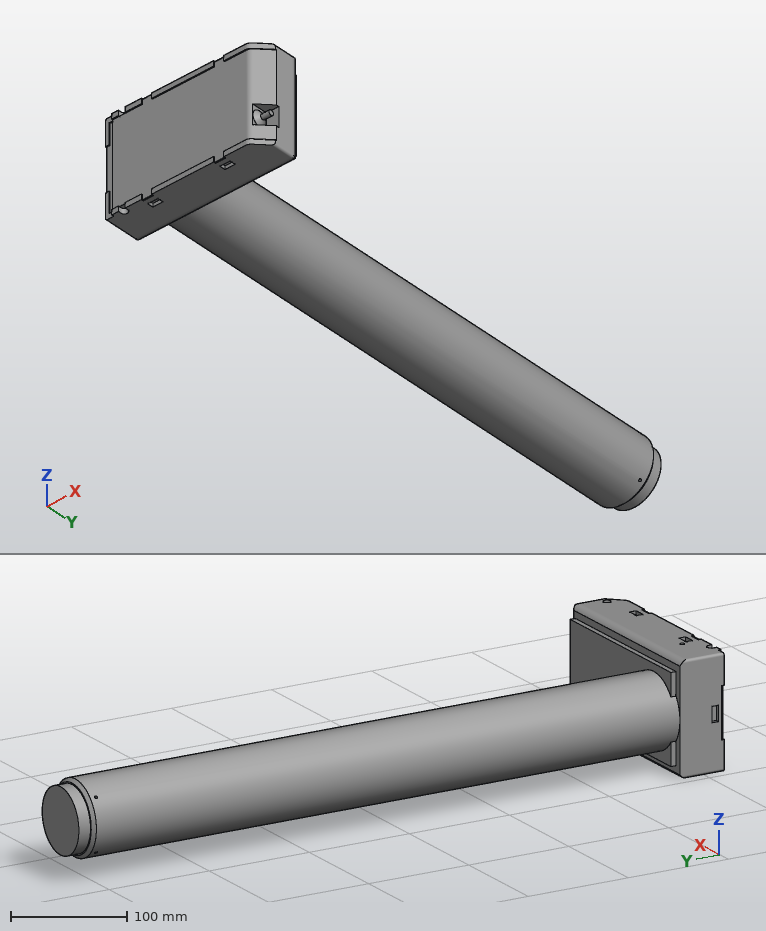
import cadquery as cq

total_length = 645.0
column_dia = 71.0
spigot_dia = 62.0
spigot_length = 11.5
shoulder_chamfer = 3.0
column_hole_dia = 2.5
column_hole_depth = 3.0
column_hole_from_end = 20.5
column_hole_angles = (45, 135, 225, 315)

housing_width = 183.0
housing_height = 107.0
housing_depth = 47.0
housing_left = -column_dia / 2
housing_right = housing_left + housing_width
corner_radius = 2.5
half_height = housing_height / 2

back_radius = 9.0
back_trim = 1.0

plate_left = -29.0
plate_right = 140.5
plate_height = 85.0
plate_thickness = 5.0

lip_thickness = 6.0
left_lip_thickness = 4.5
panel_recess = 1.0
left_step = 2.5
left_step_x = -26.0
slope_start_x = 131.5
slope_end_y = 17.0
slope_bend_radius = 7.0

clip_width = 11.5
clip_centres_x = (14.0, 97.5)
clip_inset = 0.3
clip_inset_depth = 1.0
slot_height = 6.5
slot_centre_y = 11.5
slot_depth = 4.0
side_slot_width = 15.0
side_clip_width = 49.0
notch_x = -14.0
notch_width = 8.0
notch_depth = 7.0

pilot_hole_dia = 4.0
pilot_hole_x = 5.0
pilot_hole_y = 20.5
screw_hole_dia = 7.0
screw_hole_x = 138.0
screw_hole_y = 17.0
wall_hole_depth = 4.0

connector_z = -21.0
recess_left = 133.5
recess_height = 22.0
recess_depth = 21.0
connector_y = 12.0
cone_base_dia = 17.0
cone_length = 4.0
pin_dia = 6.0
pin_end_x = 147.0


def box(x_range, y_range, z_range):
    """Box between the given limits."""
    size = [high - low for low, high in (x_range, y_range, z_range)]
    corner = (x_range[0], y_range[0], z_range[0])
    return cq.Workplane("XY").box(*size, centered=False).translate(corner)


def span(centre, size):
    """Limits of a length centred on a point."""
    return (centre - size / 2, centre + size / 2)


def make_column():
    """Bar with a chamfered shoulder, a spigot at the far end and four small radial holes."""
    radius = column_dia / 2
    shoulder_y = total_length - spigot_length
    bar = (
        cq.Workplane("YZ")
        .moveTo(housing_depth, 0)
        .lineTo(housing_depth, radius)
        .lineTo(shoulder_y - shoulder_chamfer, radius)
        .lineTo(shoulder_y, radius - shoulder_chamfer)
        .lineTo(shoulder_y, spigot_dia / 2)
        .lineTo(total_length, spigot_dia / 2)
        .lineTo(total_length, 0)
        .close()
        .revolve(360, (0, 0, 0), (1, 0, 0))
    )
    hole = (
        cq.Workplane("XY", origin=(0, total_length - column_hole_from_end, radius - column_hole_depth))
        .circle(column_hole_dia / 2)
        .extrude(2 * column_hole_depth)
    )
    for angle in column_hole_angles:
        bar = bar.cut(hole.rotate((0, 0, 0), (0, 1, 0), angle))
    return bar


def front_prism(recess):
    """Prism along Z over the full height, with its stepped and sloped front set back by `recess`."""
    prism = (
        cq.Workplane("XY", origin=(0, 0, -half_height))
        .moveTo(housing_left, housing_depth)
        .lineTo(housing_left, recess + left_step)
        .lineTo(left_step_x, recess + left_step)
        .lineTo(left_step_x, recess)
        .lineTo(slope_start_x, recess)
        .lineTo(housing_right, recess + slope_end_y)
        .lineTo(housing_right, housing_depth)
        .close()
        .extrude(housing_height)
    )
    bend = cq.selectors.NearestToPointSelector((slope_start_x, recess, 0))
    return prism.edges("|Z").edges(bend).fillet(slope_bend_radius)


def make_blank():
    """Housing outline with rounded corners and a rounded back on the top, bottom and right sides."""
    block_depth = housing_depth + back_trim
    block = box((housing_left, housing_right), (0, block_depth), (-half_height, half_height))
    blank = front_prism(0)
    blank = blank.intersect(block.edges("|Y").fillet(corner_radius))
    blank = blank.intersect(block.edges("|X and >Y").fillet(back_radius))
    return blank.intersect(block.edges("|Z and >Y and >X").fillet(back_radius))


def make_shell():
    """Blank with a thin lip standing in front of the panel, broken by gaps at the clips."""
    blank = make_blank()
    front_y = (0, housing_depth)
    openings = box(
        (housing_left + left_lip_thickness, housing_right),
        front_y,
        (lip_thickness - half_height, half_height - lip_thickness),
    )
    for x in clip_centres_x:
        openings = openings.union(box(span(x, clip_width), front_y, (-half_height, half_height)))
    openings = openings.union(box((housing_left, left_step_x), front_y, span(0, side_clip_width)))
    lip = blank.cut(openings)
    return lip.union(blank.intersect(front_prism(panel_recess)))


def inset_clips(shell):
    """Set the outer faces of the clips slightly inside the walls."""
    clip_y = (0, panel_recess + clip_inset_depth)
    for x in clip_centres_x:
        for side in (1, -1):
            clip_z = sorted((side * half_height, side * (half_height - clip_inset)))
            shell = shell.cut(box(span(x, clip_width), clip_y, clip_z))
    side_clip_y = (0, left_step + panel_recess + clip_inset_depth)
    return shell.cut(box((housing_left, housing_left + clip_inset), side_clip_y, span(0, side_clip_width)))


def cut_wall_openings(shell):
    """Cut the clip slots, edge notches and round holes of the walls."""
    slot_y = span(slot_centre_y, slot_height)
    notch_centre_y = notch_depth - notch_width / 2
    for side in (1, -1):
        slot_z = sorted((side * half_height, side * (half_height - slot_depth)))
        for x in clip_centres_x:
            shell = shell.cut(box(span(x, clip_width), slot_y, slot_z))
        notch = (
            cq.Workplane("XY", origin=(notch_x, notch_centre_y, side * half_height))
            .moveTo(-notch_width / 2, -notch_centre_y)
            .lineTo(-notch_width / 2, 0)
            .threePointArc((0, notch_width / 2), (notch_width / 2, 0))
            .lineTo(notch_width / 2, -notch_centre_y)
            .close()
            .extrude(-side * lip_thickness)
        )
        shell = shell.cut(notch)
    shell = shell.cut(box((housing_left, housing_left + slot_depth), slot_y, span(0, side_slot_width)))

    holes = ((pilot_hole_x, pilot_hole_y, pilot_hole_dia), (screw_hole_x, screw_hole_y, screw_hole_dia))
    for x, y, diameter in holes:
        hole = (
            cq.Workplane("XY", origin=(x, y, half_height))
            .circle(diameter / 2)
            .extrude(-wall_hole_depth)
        )
        shell = shell.cut(hole)
    return shell


def add_connector(shell):
    """Cut the recess in the sloped corner and add the cone and pin that stand in it."""
    recess_z = span(connector_z, recess_height)
    shell = shell.cut(box((recess_left, housing_right), (0, recess_depth), recess_z))
    cone_end = recess_left + cone_length
    connector = (
        cq.Workplane("XY")
        .moveTo(recess_left, 0)
        .lineTo(recess_left, cone_base_dia / 2)
        .lineTo(cone_end, pin_dia / 2)
        .lineTo(pin_end_x, pin_dia / 2)
        .lineTo(pin_end_x, 0)
        .close()
        .revolve(360, (0, 0, 0), (1, 0, 0))
        .translate((0, connector_y, connector_z))
    )
    return shell.union(connector)


def make_plate():
    """Plate on the back of the housing, bored for the end of the column."""
    plate = box(
        (plate_left, plate_right),
        (housing_depth, housing_depth + plate_thickness),
        (-plate_height / 2, plate_height / 2),
    )
    bore = (
        cq.Workplane("XZ", origin=(0, housing_depth, 0))
        .circle(column_dia / 2)
        .extrude(-plate_thickness)
    )
    return plate.cut(bore)


def make_housing():
    """Shell with its wall openings, its connector and its mounting plate."""
    shell = inset_clips(make_shell())
    shell = cut_wall_openings(shell)
    shell = add_connector(shell)
    return shell.union(make_plate())


column = make_column()
housing = make_housing()
result = cq.Compound.makeCompound([column.solids().val(), housing.solids().val()])